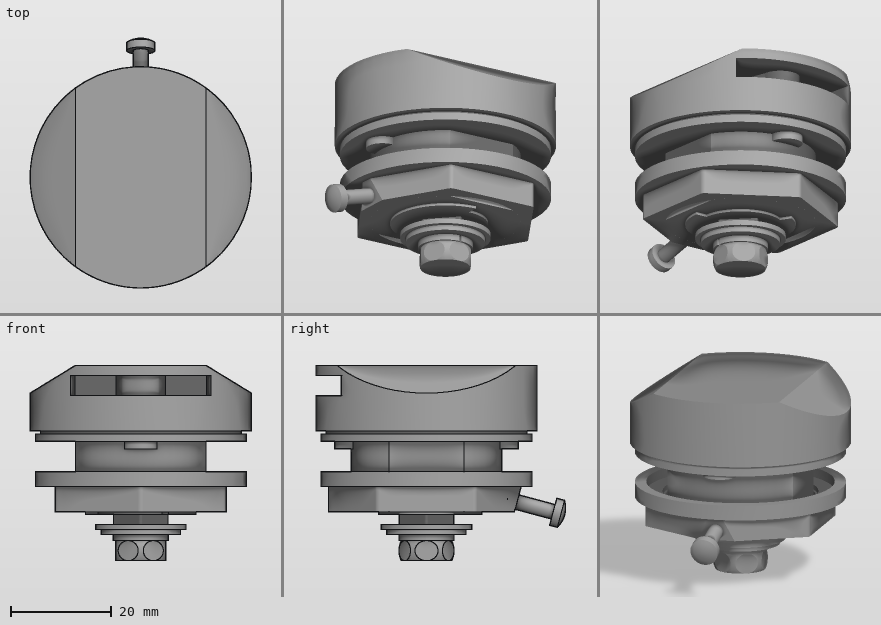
import cadquery as cq
import math

HEAD_HEIGHT = 13.0
STEP_HEIGHT = 0.6
FLANGE_HEIGHT = 1.5
NECK_HEIGHT = 6.0
GASKET_HEIGHT = 3.0
NUT_HEIGHT = 5.0
STOP_HEIGHT = 0.5
SQUARE_HEIGHT = 2.0
WASHER_HEIGHT = 1.0
SPRING_HEIGHT = 1.2
BOLT_HEAD_HEIGHT = 4.0

Z_FLANGE_TOP = -STEP_HEIGHT
Z_FLANGE_BOTTOM = Z_FLANGE_TOP - FLANGE_HEIGHT
Z_GASKET_TOP = Z_FLANGE_BOTTOM - NECK_HEIGHT
Z_NUT_TOP = Z_GASKET_TOP - GASKET_HEIGHT
Z_NUT_BOTTOM = Z_NUT_TOP - NUT_HEIGHT
Z_STOP_BOTTOM = Z_NUT_BOTTOM - STOP_HEIGHT
Z_SQUARE_BOTTOM = Z_STOP_BOTTOM - SQUARE_HEIGHT
Z_WIDE_WASHER_BOTTOM = Z_SQUARE_BOTTOM - WASHER_HEIGHT
Z_NARROW_WASHER_BOTTOM = Z_WIDE_WASHER_BOTTOM - WASHER_HEIGHT
Z_SPRING_BOTTOM = Z_NARROW_WASHER_BOTTOM - SPRING_HEIGHT

HEAD_RADIUS = 22.0
STEP_RADIUS = 20.0
TOP_FLAT_HALF = 13.0
SLOPE_DROP = 5.5
POCKET_TOP_DEPTH = 2.0
POCKET_HEIGHT = 4.0
POCKET_MOUTH_HALF = 14.0
POCKET_BACK_HALF = 13.1
POCKET_BACK_Y = -4.0
POCKET_OVERRUN = 1.0
POST_RADIUS = 3.8
POST_SWELL_HALF = 4.95
POST_SWELL_Y = -5.0
POST_CENTRE_Y = -13.1
CORE_RADIUS = 8.0
SQUARE_SIZE = 8.0
SQUARE_CORNER_RADIUS = 0.5

BARREL_RADIUS = 15.0
BARREL_FLAT_HALF = 13.0
FLANGE_RADIUS = 21.0
LUG_RADIUS = 3.25
LUG_HEIGHT = 1.5
GASKET_RECESS_RADIUS = 18.75
GASKET_RECESS_DEPTH = 2.0
GASKET_HOLE_RADIUS = 15.5
NUT_ACROSS_FLATS = 34.0
NUT_CORNER_RADIUS = 1.0

SCREW_TILT = 15.0
SCREW_ENTRY_Y = 18.0
SCREW_ENTRY_Z = -14.15
SCREW_RADIUS = 1.5
SCREW_EXPOSED = 7.42
SCREW_INSERTION = 2.0
SCREW_HEAD_RADIUS = 2.8
SCREW_RIM_HEIGHT = 1.6
SCREW_DOME_HEIGHT = 0.8

STOP_OUTER_RADIUS = 11.0
STOP_INNER_RADIUS = 8.5
STOP_START_ANGLE = -60.0
STOP_END_ANGLE = 180.0

WIDE_WASHER_RADIUS = 9.0
NARROW_WASHER_RADIUS = 7.9
SPRING_RADIUS = 5.5
SPRING_GAP = 0.5
BOLT_RADIUS = 3.0
BOLT_LENGTH = 10.0
BOLT_ACROSS_FLATS = 10.0
BOLT_CROWN_RADIUS = 5.5


def disc(radius, z_bottom, z_top):
    return cq.Workplane("XY").workplane(offset=z_bottom).circle(radius).extrude(z_top - z_bottom)


def hexagon(across_flats, z_bottom, z_top):
    """Hexagonal prism with two of its flats facing along X."""
    corner_diameter = across_flats / math.cos(math.radians(30))
    return (
        cq.Workplane("XY").workplane(offset=z_bottom)
        .transformed(rotate=(0, 0, 30))
        .polygon(6, corner_diameter)
        .extrude(z_top - z_bottom)
    )


def square_bar(z_bottom, z_top):
    """Square drive with rounded edges and its corners on the X and Y axes."""
    return (
        cq.Workplane("XY").workplane(offset=z_bottom)
        .transformed(rotate=(0, 0, 45))
        .rect(SQUARE_SIZE, SQUARE_SIZE)
        .extrude(z_top - z_bottom)
        .edges("|Z").fillet(SQUARE_CORNER_RADIUS)
    )


def polar(radius, degrees):
    angle = math.radians(degrees)
    return (radius * math.cos(angle), radius * math.sin(angle))


def make_finger_pocket():
    """Tapered pocket open at -Y, with a round-nosed, swelling post left standing at its centre."""
    mouth_y = -math.sqrt(HEAD_RADIUS**2 - POCKET_MOUTH_HALF**2)
    front_y = -HEAD_RADIUS - POCKET_OVERRUN
    roof_z = HEAD_HEIGHT - POCKET_TOP_DEPTH
    floor = cq.Workplane("XY").workplane(offset=roof_z - POCKET_HEIGHT)
    pocket = (
        floor
        .moveTo(-POCKET_MOUTH_HALF, front_y)
        .lineTo(POCKET_MOUTH_HALF, front_y)
        .lineTo(POCKET_MOUTH_HALF, mouth_y)
        .lineTo(POCKET_BACK_HALF, POCKET_BACK_Y)
        .lineTo(-POCKET_BACK_HALF, POCKET_BACK_Y)
        .lineTo(-POCKET_MOUTH_HALF, mouth_y)
        .close()
        .extrude(POCKET_HEIGHT)
    )
    swell = POST_SWELL_HALF - POST_RADIUS
    swell_length = POST_SWELL_Y - POST_CENTRE_Y
    swell_radius = (swell**2 + swell_length**2) / (2 * swell)
    back_drop = swell_radius - math.sqrt(swell_radius**2 - (POCKET_BACK_Y - POST_SWELL_Y)**2)
    back_half = POST_SWELL_HALF - back_drop
    post = (
        floor
        .moveTo(-back_half, POCKET_BACK_Y)
        .threePointArc((-POST_SWELL_HALF, POST_SWELL_Y), (-POST_RADIUS, POST_CENTRE_Y))
        .threePointArc((0, POST_CENTRE_Y - POST_RADIUS), (POST_RADIUS, POST_CENTRE_Y))
        .threePointArc((POST_SWELL_HALF, POST_SWELL_Y), (back_half, POCKET_BACK_Y))
        .close()
        .extrude(POCKET_HEIGHT)
    )
    return pocket.cut(post)


def make_bolt_shank():
    return disc(BOLT_RADIUS, Z_SPRING_BOTTOM, Z_SPRING_BOTTOM + BOLT_LENGTH)


def make_knob():
    """Head with two sloped sides, seating step, core through the barrel and square drive."""
    slope_z = HEAD_HEIGHT - SLOPE_DROP
    head = (
        cq.Workplane("XZ")
        .moveTo(-HEAD_RADIUS, 0)
        .lineTo(HEAD_RADIUS, 0)
        .lineTo(HEAD_RADIUS, slope_z)
        .lineTo(TOP_FLAT_HALF, HEAD_HEIGHT)
        .lineTo(-TOP_FLAT_HALF, HEAD_HEIGHT)
        .lineTo(-HEAD_RADIUS, slope_z)
        .close()
        .extrude(HEAD_RADIUS, both=True)
        .intersect(disc(HEAD_RADIUS, 0, HEAD_HEIGHT))
        .cut(make_finger_pocket())
    )
    return (
        head
        .union(disc(STEP_RADIUS, Z_FLANGE_TOP, 0))
        .union(disc(CORE_RADIUS, Z_NUT_BOTTOM, Z_FLANGE_TOP))
        .union(square_bar(Z_SQUARE_BOTTOM, Z_NUT_BOTTOM))
        .cut(make_bolt_shank())
    )


def make_barrel():
    """Flanged sleeve with two flats and two round locating lugs under the flange."""
    sleeve_length = Z_FLANGE_BOTTOM - Z_NUT_BOTTOM
    flats = (
        cq.Workplane("XY").workplane(offset=Z_NUT_BOTTOM)
        .rect(2 * BARREL_FLAT_HALF, 2 * BARREL_RADIUS)
        .extrude(sleeve_length)
    )
    barrel = disc(BARREL_RADIUS, Z_NUT_BOTTOM, Z_FLANGE_BOTTOM).intersect(flats)
    barrel = barrel.union(disc(FLANGE_RADIUS, Z_FLANGE_BOTTOM, Z_FLANGE_TOP))
    lug = disc(LUG_RADIUS, Z_FLANGE_BOTTOM - LUG_HEIGHT, Z_FLANGE_BOTTOM)
    for side in (-1, 1):
        barrel = barrel.union(lug.translate((0, side * BARREL_RADIUS, 0)))
    return barrel.cut(disc(CORE_RADIUS, Z_NUT_BOTTOM, Z_FLANGE_TOP))


def make_gasket():
    """Ring with a wide recess in its upper face."""
    recess_floor = Z_GASKET_TOP - GASKET_RECESS_DEPTH
    return (
        disc(FLANGE_RADIUS, Z_NUT_TOP, Z_GASKET_TOP)
        .cut(disc(GASKET_RECESS_RADIUS, recess_floor, Z_GASKET_TOP))
        .cut(disc(GASKET_HOLE_RADIUS, Z_NUT_TOP, recess_floor))
    )


def screw_frame():
    """Plane of the slanted facet: its normal is the screw axis, pointing out of the nut."""
    tilt = math.radians(SCREW_TILT)
    return cq.Plane(
        origin=(0, SCREW_ENTRY_Y, SCREW_ENTRY_Z),
        xDir=(1, 0, 0),
        normal=(0, math.cos(tilt), -math.sin(tilt)),
    )


def make_screw_shank():
    return (
        cq.Workplane(screw_frame()).workplane(offset=-SCREW_INSERTION)
        .circle(SCREW_RADIUS)
        .extrude(SCREW_INSERTION + SCREW_EXPOSED)
    )


def make_screw():
    """Clamp screw with a domed head, standing square to the slanted facet."""
    rim_end = SCREW_EXPOSED + SCREW_RIM_HEIGHT
    tip = rim_end + SCREW_DOME_HEIGHT
    dome_radius = (SCREW_HEAD_RADIUS**2 + SCREW_DOME_HEIGHT**2) / (2 * SCREW_DOME_HEIGHT)
    half_angle = math.asin(SCREW_HEAD_RADIUS / dome_radius) / 2
    dome_middle = (
        dome_radius * math.sin(half_angle),
        tip - dome_radius * (1 - math.cos(half_angle)),
    )
    head = (
        cq.Workplane("XZ")
        .moveTo(0, SCREW_EXPOSED)
        .lineTo(SCREW_HEAD_RADIUS, SCREW_EXPOSED)
        .lineTo(SCREW_HEAD_RADIUS, rim_end)
        .threePointArc(dome_middle, (0, tip))
        .close()
        .revolve(360, (0, 0), (0, 1))
    )
    placed_head = cq.Workplane(head.val().moved(cq.Location(screw_frame())))
    return make_screw_shank().union(placed_head)


def make_nut():
    """Hexagonal nut whose +Y corner is cut off by a slanted facet carrying the screw."""
    beyond_facet = (
        cq.Workplane(screw_frame())
        .rect(NUT_ACROSS_FLATS, NUT_ACROSS_FLATS)
        .extrude(NUT_ACROSS_FLATS)
    )
    return (
        hexagon(NUT_ACROSS_FLATS, Z_NUT_BOTTOM, Z_NUT_TOP)
        .edges("|Z").fillet(NUT_CORNER_RADIUS)
        .cut(disc(BARREL_RADIUS, Z_NUT_BOTTOM, Z_NUT_TOP))
        .cut(beyond_facet)
        .cut(make_screw_shank())
    )


def make_stop_disc():
    """Thin disc with a larger-radius sector whose ends act as turning stops."""
    sector_middle = (STOP_START_ANGLE + STOP_END_ANGLE) / 2
    gap_middle = sector_middle + 180
    return (
        cq.Workplane("XY").workplane(offset=Z_STOP_BOTTOM)
        .moveTo(*polar(STOP_OUTER_RADIUS, STOP_START_ANGLE))
        .threePointArc(polar(STOP_OUTER_RADIUS, sector_middle), polar(STOP_OUTER_RADIUS, STOP_END_ANGLE))
        .lineTo(*polar(STOP_INNER_RADIUS, STOP_END_ANGLE))
        .threePointArc(polar(STOP_INNER_RADIUS, gap_middle), polar(STOP_INNER_RADIUS, STOP_START_ANGLE))
        .close()
        .extrude(STOP_HEIGHT)
        .cut(square_bar(Z_STOP_BOTTOM, Z_NUT_BOTTOM))
    )


def make_washer(radius, z_bottom, height):
    z_top = z_bottom + height
    return disc(radius, z_bottom, z_top).cut(disc(BOLT_RADIUS, z_bottom, z_top))


def make_spring_washer():
    """Washer split by a narrow gap on its -X side."""
    gap = (
        cq.Workplane("XY").workplane(offset=Z_SPRING_BOTTOM)
        .center(-SPRING_RADIUS / 2, 0)
        .rect(SPRING_RADIUS, SPRING_GAP)
        .extrude(SPRING_HEIGHT)
    )
    return make_washer(SPRING_RADIUS, Z_SPRING_BOTTOM, SPRING_HEIGHT).cut(gap)


def make_bolt():
    """Hexagon bolt; the crowned turning of its head leaves a rounded patch on each flat."""
    z_bottom = Z_SPRING_BOTTOM - BOLT_HEAD_HEIGHT
    z_middle = Z_SPRING_BOTTOM - BOLT_HEAD_HEIGHT / 2
    end_radius = BOLT_ACROSS_FLATS / 2
    crown = (
        cq.Workplane("XZ")
        .moveTo(0, z_bottom)
        .lineTo(end_radius, z_bottom)
        .threePointArc((BOLT_CROWN_RADIUS, z_middle), (end_radius, Z_SPRING_BOTTOM))
        .lineTo(0, Z_SPRING_BOTTOM)
        .close()
        .revolve(360, (0, 0), (0, 1))
    )
    head = hexagon(BOLT_ACROSS_FLATS, z_bottom, Z_SPRING_BOTTOM).intersect(crown)
    return head.union(make_bolt_shank())


knob = make_knob()
barrel = make_barrel()
gasket = make_gasket()
nut = make_nut()
screw = make_screw()
stop_disc = make_stop_disc()
wide_washer = make_washer(WIDE_WASHER_RADIUS, Z_WIDE_WASHER_BOTTOM, WASHER_HEIGHT)
narrow_washer = make_washer(NARROW_WASHER_RADIUS, Z_NARROW_WASHER_BOTTOM, WASHER_HEIGHT)
spring_washer = make_spring_washer()
bolt = make_bolt()

result = cq.Compound.makeCompound([
    knob.val(),
    barrel.val(),
    gasket.val(),
    nut.val(),
    screw.val(),
    stop_disc.val(),
    wide_washer.val(),
    narrow_washer.val(),
    spring_washer.val(),
    bolt.val(),
])